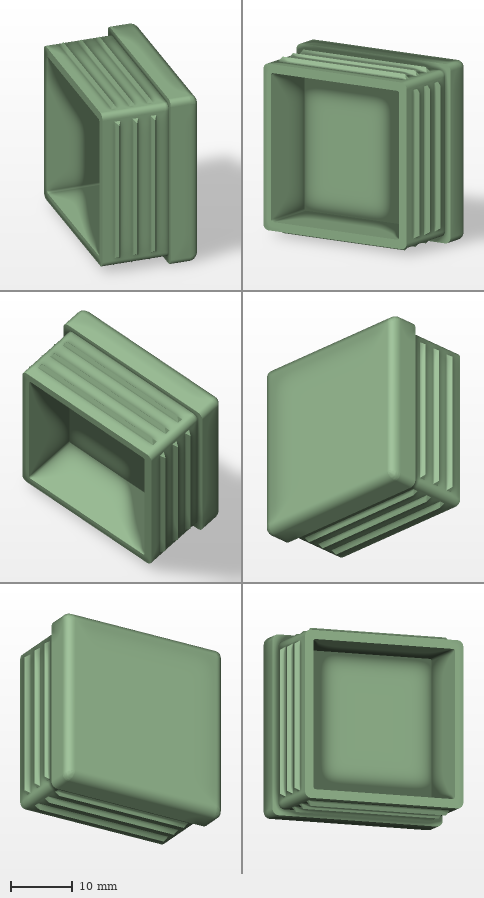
import cadquery as cq

cap_side = 30.0
cap_thickness = 5.0
cap_corner_radius = 1.05
cap_edge_radius = 1.5

total_depth = 16.5
body_side = 27.9
body_corner_radius = 1.02
body_depth = total_depth - cap_thickness

wall = 1.5
cavity_side = body_side - 2 * wall
cavity_depth = 10.0
cavity_corner_radius = 0.33

ribs_per_side = 3
rib_length = cavity_side
rib_width = 1.02
rib_height = 0.8
rib_pitch = 3.12
rib_root = 0.3
side_count = 4


def square_prism(side, start_y, depth, corner_radius):
    """Rounded square prism centred on the Y axis, running from start_y toward +Y."""
    prism = cq.Workplane("XY").box(side, depth, side, centered=(True, False, True))
    return prism.edges("|Y").fillet(corner_radius).translate((0, start_y, 0))


def hip_profile(plane, width):
    """Rib outline on the given plane: a foot of the given width, sloping in to the ridge."""
    half = width / 2
    ridge_half = half - rib_width / 2
    outline = cq.Workplane(plane).moveTo(-half, -rib_root).lineTo(half, -rib_root).lineTo(half, 0)
    outline = outline.lineTo(ridge_half, rib_height)
    if ridge_half > 0:
        outline = outline.lineTo(-ridge_half, rib_height)
    return outline.lineTo(-half, 0).close()


def grip_rib():
    """Ridge along X pointing +Z, with ends sloped like its flanks; its foot is at Z = 0."""
    flanks = hip_profile("YZ", rib_width).extrude(rib_length / 2, both=True)
    ends = hip_profile("XZ", rib_length).extrude(rib_width, both=True)
    return flanks.intersect(ends)


cap = square_prism(cap_side, body_depth, cap_thickness, cap_corner_radius)
cap = cap.faces(">Y").edges().fillet(cap_edge_radius)
body = square_prism(body_side, 0, body_depth, body_corner_radius)
plug = cap.union(body)

rib = grip_rib()
for row in range(ribs_per_side):
    rib_y = body_depth / 2 + (row - (ribs_per_side - 1) / 2) * rib_pitch
    placed_rib = rib.translate((0, rib_y, body_side / 2))
    for side in range(side_count):
        angle = side * 360 / side_count
        plug = plug.union(placed_rib.rotate((0, 0, 0), (0, 1, 0), angle))

cavity = square_prism(cavity_side, 0, cavity_depth, cavity_corner_radius)
result = plug.cut(cavity)